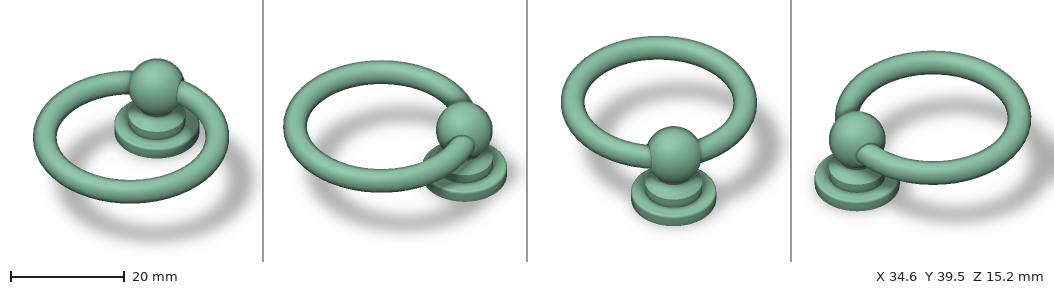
import cadquery as cq
import math

ball_radius = 5.0
overall_height = 15.2
ball_center_z = overall_height - ball_radius
flat_distance = 4.35

base_radius = 7.5
base_height = 2.15
base_edge_round = 0.47
collar_radius = ball_radius
collar_top_z = 4.02
neck_radius = 3.0
neck_bottom_z = 5.68
neck_top_z = ball_center_z - math.sqrt(ball_radius**2 - neck_radius**2)

overall_length = 39.45
ring_outer_radius = 17.295
tube_radius = 2.1
ring_path_radius = ring_outer_radius - tube_radius
ring_center_y = base_radius - overall_length + ring_outer_radius
ring_tilt = 0.4


def make_ring():
    """Round-section ring through the ball center, tilted slightly about Y."""
    ring = cq.Solid.makeTorus(
        ring_path_radius,
        tube_radius,
        cq.Vector(0, ring_center_y, ball_center_z),
        cq.Vector(-math.sin(math.radians(ring_tilt)), 0, math.cos(math.radians(ring_tilt))),
    )
    return cq.Workplane(obj=ring)


def make_stem():
    """Base, collar, cone, neck and ball, revolved as one profile about Z."""
    return (
        cq.Workplane("XZ")
        .moveTo(0, 0)
        .lineTo(base_radius, 0)
        .lineTo(base_radius, base_height - base_edge_round)
        .radiusArc((base_radius - base_edge_round, base_height), -base_edge_round)
        .lineTo(collar_radius, base_height)
        .lineTo(collar_radius, collar_top_z)
        .lineTo(neck_radius, neck_bottom_z)
        .lineTo(neck_radius, neck_top_z)
        .threePointArc((ball_radius, ball_center_z), (0, overall_height))
        .close()
        .revolve(360, (0, 0, 0), (0, 1, 0))
    )


def cut_flats(stem):
    """Slice the ball flat on both X sides, leaving the foot untouched."""
    cap_height = overall_height - neck_top_z
    for side in (-1, 1):
        cap = (
            cq.Workplane("XY", origin=(side * (flat_distance + ball_radius / 2), 0, neck_top_z))
            .rect(ball_radius, 2 * ball_radius)
            .extrude(cap_height)
        )
        stem = stem.cut(cap)
    return stem


ring = make_ring()
stem = cut_flats(make_stem()).cut(ring)

result = cq.Compound.makeCompound([stem.solids().val(), ring.val()])